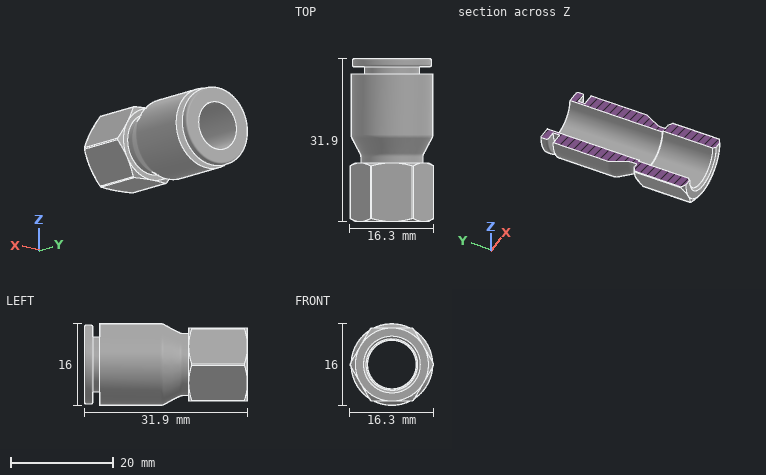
import cadquery as cq
import math


hex_across_flats = 14.3
hex_corner_diameter = 16.34
hex_length = 11.5
hex_chamfer_angle = math.radians(30)

neck_diameter = 12.2
sleeve_end = 28.9
sleeve_diameter = 16.0
taper_start = 13.0
taper_end = 16.6
taper_blend_radius = 1.25
collar_neck_diameter = 10.8
collar_diameter = 15.5
collar_thickness = 1.65
collar_edge_radius = 0.4
overall_length = 31.9

thread_diameter = 10.1
thread_depth = hex_length
thread_chamfer = 0.5
through_diameter = 9.5


def disc(diameter, start, end):
    """Cylinder about the Y axis between two Y positions."""
    plane = cq.Workplane("XZ", origin=(0, start, 0))
    return plane.circle(diameter / 2).extrude(start - end)


def revolve_profile(points):
    """Solid of revolution about Y from (radius, Y) points."""
    return cq.Workplane("XY").polyline(points).close().revolve(360, (0, 0, 0), (0, 1, 0))


def make_hexagon():
    """Hexagon with corners on X, trimmed by a cylinder and chamfered at both ends."""
    corner_to_corner = hex_across_flats / math.cos(math.radians(30))
    prism = cq.Workplane("XZ").polygon(6, corner_to_corner).extrude(-hex_length)
    face_radius = hex_across_flats / 2
    corner_radius = hex_corner_diameter / 2
    chamfer_length = (corner_radius - face_radius) * math.tan(hex_chamfer_angle)
    envelope = revolve_profile([
        (0, 0),
        (face_radius, 0),
        (corner_radius, chamfer_length),
        (corner_radius, hex_length - chamfer_length),
        (face_radius, hex_length),
        (0, hex_length),
    ])
    return prism.intersect(envelope)


def make_sleeve():
    """Neck and sleeve joined by a cone that blends smoothly into both cylinders."""
    large_radius = sleeve_diameter / 2
    small_radius = neck_diameter / 2
    taper_angle = math.atan2(large_radius - small_radius, taper_end - taper_start)
    tangent_length = taper_blend_radius * math.tan(taper_angle / 2)
    along_y = tangent_length * math.cos(taper_angle)
    along_radius = tangent_length * math.sin(taper_angle)
    small_blend_start = taper_start - tangent_length
    large_blend_end = taper_end + tangent_length
    profile = (
        cq.Workplane("XY")
        .moveTo(0, hex_length)
        .lineTo(small_radius, hex_length)
        .lineTo(small_radius, small_blend_start)
        .radiusArc((small_radius + along_radius, taper_start + along_y), taper_blend_radius)
        .lineTo(large_radius - along_radius, taper_end - along_y)
        .radiusArc((large_radius, large_blend_end), -taper_blend_radius)
        .lineTo(large_radius, sleeve_end)
        .lineTo(0, sleeve_end)
        .close()
    )
    return profile.revolve(360, (0, 0, 0), (0, 1, 0))


def make_collar():
    """Release collar with rounded rims, on its narrower stem."""
    collar_start = overall_length - collar_thickness
    stem = disc(collar_neck_diameter, sleeve_end, collar_start)
    flange = disc(collar_diameter, collar_start, overall_length)
    return stem.union(flange.edges().fillet(collar_edge_radius))


def make_bore():
    """Through bore with a wider, chamfered counterbore at the hex end."""
    through_radius = through_diameter / 2
    thread_radius = thread_diameter / 2
    return revolve_profile([
        (0, 0),
        (thread_radius + thread_chamfer, 0),
        (thread_radius, thread_chamfer),
        (thread_radius, thread_depth),
        (through_radius, thread_depth),
        (through_radius, overall_length),
        (0, overall_length),
    ])


body = make_hexagon().union(make_sleeve()).union(make_collar())
result = body.cut(make_bore())